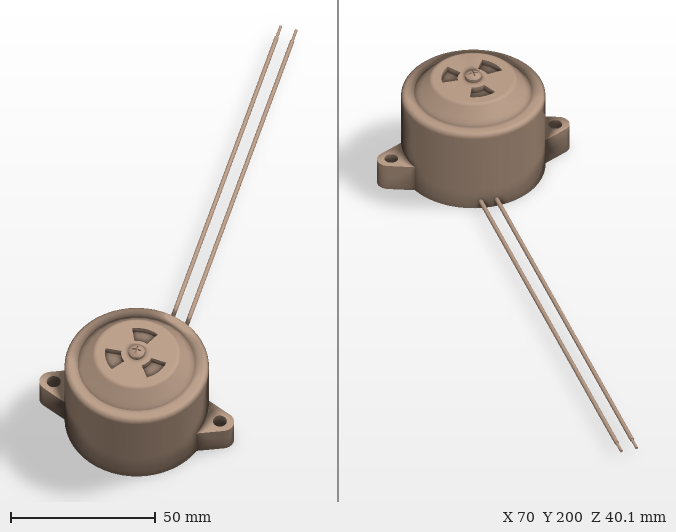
import cadquery as cq
import math

DRUM_RADIUS = 25.0
DRUM_HEIGHT = 31.8
DRUM_EDGE_FILLET = 1.8
CROWN_BASE_RADIUS = 20.5
CROWN_HEIGHT = 5.8
CROWN_TOP_RADIUS = CROWN_BASE_RADIUS - CROWN_HEIGHT
CROWN_EDGE_FILLET = 2.0
HOUSING_HEIGHT = DRUM_HEIGHT + CROWN_HEIGHT

EAR_HEIGHT = 10.0
EAR_TIP_RADIUS = 4.0
EAR_TIP_OFFSET = 31.0
EAR_HOLE_RADIUS = 2.5
EAR_HOLE_OFFSET = 30.0
EAR_ROOT_HALF_WIDTH = 7.5

OPENING_COUNT = 3
OPENING_INNER_RADIUS = 5.5
OPENING_OUTER_RADIUS = 11.0
OPENING_HALF_ANGLE = 25.0
OPENING_DEPTH = 2.5

SCREW_RADIUS = 2.8
SCREW_RIM_HEIGHT = 1.2
SCREW_HEIGHT = 2.5
CROSS_LENGTH = 3.2
CROSS_WIDTH = 0.5
CROSS_DEPTH = 1.0

TOTAL_LENGTH = 200.0
WIRE_OFFSETS_X = (0.0, 5.5)
WIRE_HEIGHT = 3.0
SLEEVE_RADIUS = 0.75
CORE_RADIUS = 0.5
WIRE_END_Y = TOTAL_LENGTH - DRUM_RADIUS
BARE_LENGTH = 5.0
SOCKET_DEPTH = 2.0
WIRE_START_Y = DRUM_RADIUS - SOCKET_DEPTH


def polar_point(radius, angle):
    """Point at a radius and an angle in degrees from +X."""
    return (radius * math.cos(math.radians(angle)), radius * math.sin(math.radians(angle)))


def cylinder_along_y(x, radius, start_y, end_y):
    """Round bar parallel to Y at the height of the wires."""
    base = cq.Workplane("XZ", origin=(x, start_y, WIRE_HEIGHT))
    return base.circle(radius).extrude(start_y - end_y)


def make_drum():
    drum = cq.Workplane("XY").circle(DRUM_RADIUS).extrude(DRUM_HEIGHT)
    return drum.faces(">Z").edges().fillet(DRUM_EDGE_FILLET)


def make_crown():
    crown = (
        cq.Workplane("XZ")
        .moveTo(0, DRUM_HEIGHT)
        .lineTo(CROWN_BASE_RADIUS, DRUM_HEIGHT)
        .lineTo(CROWN_TOP_RADIUS, HOUSING_HEIGHT)
        .lineTo(0, HOUSING_HEIGHT)
        .close()
        .revolve(360, (0, 0), (0, 1))
    )
    return crown.faces(">Z").edges().fillet(CROWN_EDGE_FILLET)


def make_ear(side):
    """Ear on the +X (side = 1) or -X (side = -1) flank, tapering from the drum to a round tip."""
    root_x = math.sqrt(DRUM_RADIUS**2 - EAR_ROOT_HALF_WIDTH**2)
    reach = EAR_TIP_OFFSET - root_x
    to_root = math.degrees(math.atan2(EAR_ROOT_HALF_WIDTH, -reach))
    root_distance = math.hypot(reach, EAR_ROOT_HALF_WIDTH)
    tangent_angle = to_root - math.degrees(math.acos(EAR_TIP_RADIUS / root_distance))
    touch_dx, touch_y = polar_point(EAR_TIP_RADIUS, tangent_angle)
    touch_x = side * (EAR_TIP_OFFSET + touch_dx)
    tip_x = side * (EAR_TIP_OFFSET + EAR_TIP_RADIUS)
    return (
        cq.Workplane("XY")
        .lineTo(side * root_x, -EAR_ROOT_HALF_WIDTH)
        .lineTo(touch_x, -touch_y)
        .threePointArc((tip_x, 0), (touch_x, touch_y))
        .lineTo(side * root_x, EAR_ROOT_HALF_WIDTH)
        .close()
        .extrude(EAR_HEIGHT)
    )


def make_ear_hole(side):
    center = cq.Workplane("XY").center(side * EAR_HOLE_OFFSET, 0)
    return center.circle(EAR_HOLE_RADIUS).extrude(EAR_HEIGHT)


def make_opening(middle_angle):
    """Ring sector sunk into the top of the crown."""
    start = middle_angle - OPENING_HALF_ANGLE
    end = middle_angle + OPENING_HALF_ANGLE
    return (
        cq.Workplane("XY", origin=(0, 0, HOUSING_HEIGHT))
        .moveTo(*polar_point(OPENING_INNER_RADIUS, start))
        .lineTo(*polar_point(OPENING_OUTER_RADIUS, start))
        .threePointArc(
            polar_point(OPENING_OUTER_RADIUS, middle_angle),
            polar_point(OPENING_OUTER_RADIUS, end),
        )
        .lineTo(*polar_point(OPENING_INNER_RADIUS, end))
        .threePointArc(
            polar_point(OPENING_INNER_RADIUS, middle_angle),
            polar_point(OPENING_INNER_RADIUS, start),
        )
        .close()
        .extrude(-OPENING_DEPTH)
    )


def make_screw_head():
    """Domed head with a cross recess, rising from the crown."""
    rim_z = HOUSING_HEIGHT + SCREW_RIM_HEIGHT
    top_z = HOUSING_HEIGHT + SCREW_HEIGHT
    dome_rise = SCREW_HEIGHT - SCREW_RIM_HEIGHT
    dome_radius = (SCREW_RADIUS**2 + dome_rise**2) / (2 * dome_rise)
    half_angle = math.asin(SCREW_RADIUS / dome_radius) / 2
    dome_middle = (
        dome_radius * math.sin(half_angle),
        top_z - dome_radius * (1 - math.cos(half_angle)),
    )
    head = (
        cq.Workplane("XZ")
        .moveTo(0, HOUSING_HEIGHT)
        .lineTo(SCREW_RADIUS, HOUSING_HEIGHT)
        .lineTo(SCREW_RADIUS, rim_z)
        .threePointArc(dome_middle, (0, top_z))
        .close()
        .revolve(360, (0, 0), (0, 1))
    )
    top = cq.Workplane("XY", origin=(0, 0, top_z))
    for length_x, length_y in ((CROSS_LENGTH, CROSS_WIDTH), (CROSS_WIDTH, CROSS_LENGTH)):
        head = head.cut(top.rect(length_x, length_y).extrude(-CROSS_DEPTH))
    return head


def make_housing():
    housing = make_drum().union(make_crown())
    for side in (-1, 1):
        housing = housing.union(make_ear(side)).cut(make_ear_hole(side))
    for index in range(OPENING_COUNT):
        housing = housing.cut(make_opening(90 + index * 360 / OPENING_COUNT))
    for x in WIRE_OFFSETS_X:
        housing = housing.cut(cylinder_along_y(x, SLEEVE_RADIUS, WIRE_START_Y, WIRE_END_Y))
    return housing.union(make_screw_head())


def make_core(x):
    """Conductor running the whole length of a wire, bare at its far end."""
    return cylinder_along_y(x, CORE_RADIUS, WIRE_START_Y, WIRE_END_Y)


def make_sleeve(x):
    """Insulating tube that stops short of the end of the conductor."""
    tube = cylinder_along_y(x, SLEEVE_RADIUS, WIRE_START_Y, WIRE_END_Y - BARE_LENGTH)
    return tube.cut(make_core(x))


housing = make_housing()
cores = [make_core(x) for x in WIRE_OFFSETS_X]
sleeves = [make_sleeve(x) for x in WIRE_OFFSETS_X]

result = cq.Compound.makeCompound(
    [
        housing.val(),
        *[core.val() for core in cores],
        *[sleeve.val() for sleeve in sleeves],
    ]
)